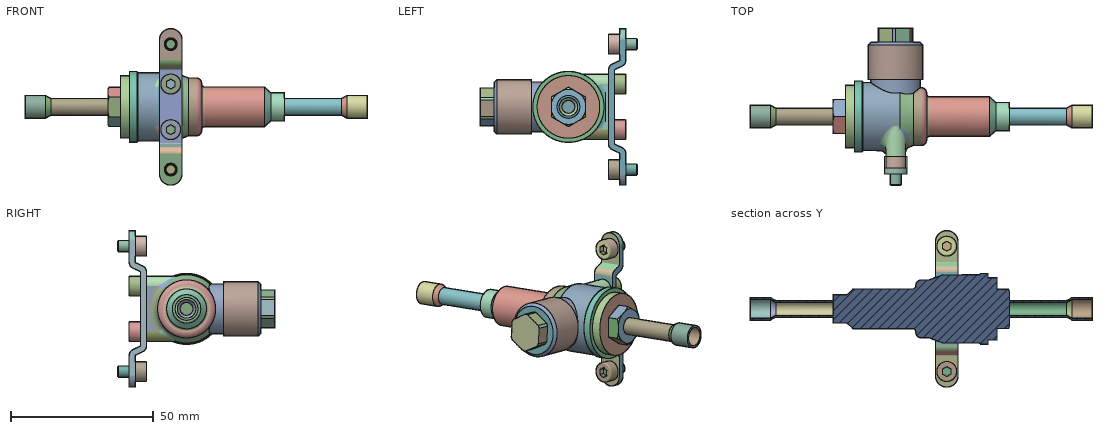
import cadquery as cq
import math

total_length = 120.1
tube_d = 6.0
tube_bore_d = 4.5
flare_d = 8.0
flare_bore_d = 6.5
flare_length = 7.2
flare_cone_length = 1.8

nut_x = 29.0
cover_x = 33.4
flange_x = 36.6
barrel_x = 39.6
cone_x = 52.6
collar_x = 57.3
shoulder_x = 62.0
neck_end_x = 84.0
ferrule_x = 86.2
ferrule_end_x = 91.0
cover_d = 22.0
flange_d = 25.0
flange_chamfer = 0.4
barrel_d = 24.0
collar_d = 20.4
neck_d = 14.0
neck_fillet = 1.0
shoulder_fillet = 2.0
ferrule_d = 10.0

nut_flats = 12.0
nut_chamfer_d = 12.3
nut_chamfer_angle = 30.0

port_x = 51.0
port_stem_d = 17.5
cap_start_y = 13.0
cap_end_y = 26.1
cap_d = 19.2
cap_chamfer = 1.0
plug_end_y = 31.0
plug_flats = 12.0
plug_round_d = 13.3
plug_turn = 25.5

bracket_x = 51.1
pad_width = 7.0
pad_fillet = 1.95
pad_fillet_end_y = -13.0
pad_face_y = -14.0
inner_screw_z = 8.0
outer_screw_z = 22.0
bracket_width = 8.0
bracket_height = 55.0
bracket_thickness = 2.2
ear_offset = 4.0
bend_angle = 65.0
bend_start_z = 12.9
bend_inner_radius = 0.2
clearance_d = 4.5

head_d = 7.0
head_height = 4.0
head_fillet = 0.4
shank_d = 4.0
shank_length = 6.2
shank_tip_d = 3.3
socket_flats = 3.0
socket_depth = 2.0


def cylinder_y(diameter, y_start, y_end, x, z=0.0):
    """Solid cylinder along Y between two Y stations."""
    plane = cq.Plane(origin=(x, y_start, z), xDir=(1, 0, 0), normal=(0, 1, 0))
    return cq.Workplane(plane).circle(diameter / 2).extrude(y_end - y_start)


def hexagon_corner_d(flats):
    """Distance across the corners of a hexagon from its width across flats."""
    return flats / math.cos(math.pi / 6)


def turned_body():
    """Revolved valve body from the cover to the ferrule."""
    collar_r = collar_d / 2
    neck_r = neck_d / 2
    shoulder_start_x = shoulder_x - shoulder_fillet
    shoulder_end_r = collar_r - shoulder_fillet
    neck_start_x = shoulder_x + neck_fillet
    diagonal = math.sqrt(0.5)
    shoulder_mid = (
        shoulder_start_x + shoulder_fillet * diagonal,
        shoulder_end_r + shoulder_fillet * diagonal,
    )
    neck_mid = (
        neck_start_x - neck_fillet * diagonal,
        neck_r + neck_fillet * (1 - diagonal),
    )
    profile = (
        cq.Workplane("XY")
        .moveTo(cover_x, 0)
        .lineTo(cover_x, cover_d / 2)
        .lineTo(flange_x, cover_d / 2)
        .lineTo(flange_x, flange_d / 2)
        .lineTo(barrel_x - flange_chamfer, flange_d / 2)
        .lineTo(barrel_x, flange_d / 2 - flange_chamfer)
        .lineTo(barrel_x, barrel_d / 2)
        .lineTo(cone_x, barrel_d / 2)
        .lineTo(collar_x, collar_r)
        .lineTo(shoulder_start_x, collar_r)
        .threePointArc(shoulder_mid, (shoulder_x, shoulder_end_r))
        .lineTo(shoulder_x, neck_r + neck_fillet)
        .threePointArc(neck_mid, (neck_start_x, neck_r))
        .lineTo(neck_end_x, neck_r)
        .lineTo(ferrule_x, ferrule_d / 2)
        .lineTo(ferrule_end_x, ferrule_d / 2)
        .lineTo(ferrule_end_x, 0)
        .close()
    )
    return profile.revolve(360, (0, 0, 0), (1, 0, 0))


def tube_shape(neck_diameter, end_diameter, length):
    """Revolved tube contour with its widened end at X = 0."""
    return (
        cq.Workplane("XY")
        .moveTo(0, 0)
        .lineTo(0, end_diameter / 2)
        .lineTo(flare_length, end_diameter / 2)
        .lineTo(flare_length + flare_cone_length, neck_diameter / 2)
        .lineTo(length, neck_diameter / 2)
        .lineTo(length, 0)
        .close()
        .revolve(360, (0, 0, 0), (1, 0, 0))
    )


def flared_tube(length):
    """Tube with a flared open end at X = 0, bored over its free length."""
    outside = tube_shape(tube_d, flare_d, length)
    return outside.cut(tube_shape(tube_bore_d, flare_bore_d, length))


def hexagon_nut():
    """Nut with corners pointing along Z, its outer corners chamfered."""
    length = cover_x - nut_x
    corner_d = hexagon_corner_d(nut_flats)
    nut = (
        cq.Workplane("YZ", origin=(nut_x, 0, 0))
        .transformed(rotate=(0, 0, 90))
        .polygon(6, corner_d)
        .extrude(length)
    )
    rise = (corner_d - nut_chamfer_d) / 2
    run = rise * math.tan(math.radians(nut_chamfer_angle))
    envelope = (
        cq.Workplane("XY")
        .moveTo(nut_x, 0)
        .lineTo(nut_x, nut_chamfer_d / 2)
        .lineTo(nut_x + run, corner_d / 2)
        .lineTo(cover_x, corner_d / 2)
        .lineTo(cover_x, 0)
        .close()
        .revolve(360, (0, 0, 0), (1, 0, 0))
    )
    return nut.intersect(envelope)


def side_port():
    """Stem, chamfered cap and round-cornered hexagon plug along +Y."""
    stem = cylinder_y(port_stem_d, 0, cap_start_y, port_x)
    cap = cylinder_y(cap_d, cap_start_y, cap_end_y, port_x).faces(">Y").chamfer(cap_chamfer)
    plug_plane = cq.Plane(origin=(port_x, cap_end_y, 0), xDir=(1, 0, 0), normal=(0, 1, 0))
    plug = (
        cq.Workplane(plug_plane)
        .transformed(rotate=(0, 0, plug_turn))
        .polygon(6, hexagon_corner_d(plug_flats))
        .extrude(plug_end_y - cap_end_y)
    )
    plug = plug.intersect(cylinder_y(plug_round_d, cap_end_y, plug_end_y, port_x))
    return stem.union(cap).union(plug)


def pad(y_start, y_end):
    """Slot-shaped column whose rounded ends are centred on the inner screws."""
    plane = cq.Plane(origin=(bracket_x, y_start, 0), xDir=(0, 0, 1), normal=(0, -1, 0))
    return cq.Workplane(plane).slot2D(2 * inner_screw_z + pad_width, pad_width).extrude(y_start - y_end)


def add_pad(body):
    """Join the pad to the body with a fillet that stops at a flat plane."""
    trim_size = flange_d * 2
    joined = body.union(pad(0, pad_face_y - pad_fillet))
    pad_sides = cq.selectors.BoxSelector(
        (bracket_x - pad_width, -barrel_d / 2, -barrel_d / 2),
        (bracket_x + pad_width, 0, barrel_d / 2),
        boundingbox=True,
    )
    blended = joined.edges(pad_sides).fillet(pad_fillet)
    trim_centre = (bracket_x, pad_fillet_end_y - trim_size / 2, 0)
    trim = cq.Workplane("XY").box(trim_size, trim_size, trim_size).translate(trim_centre)
    return blended.cut(trim).union(pad(pad_fillet_end_y, pad_face_y))


def bracket():
    """Double-cranked strap: middle against the pad, both ears stepped out to -Y."""
    angle = math.radians(bend_angle)
    corner_shift = bracket_thickness * math.tan(angle / 2)
    step_rise = ear_offset / math.tan(angle)
    outer_radius = bend_inner_radius + bracket_thickness
    back_corner_z = bend_start_z + outer_radius * math.tan(angle / 2)
    front_corner_z = back_corner_z - corner_shift
    back_y = pad_face_y
    front_y = pad_face_y - bracket_thickness
    top_z = bracket_height / 2
    upper_half = [
        (back_y, back_corner_z),
        (back_y - ear_offset, back_corner_z + step_rise),
        (back_y - ear_offset, top_z),
        (front_y - ear_offset, top_z),
        (front_y - ear_offset, front_corner_z + step_rise),
        (front_y, front_corner_z),
    ]
    lower_half = [(y, -z) for y, z in reversed(upper_half)]
    strap = (
        cq.Workplane("YZ", origin=(bracket_x - bracket_width / 2, 0, 0))
        .polyline(upper_half + lower_half)
        .close()
        .extrude(bracket_width)
    )
    bends = (
        (back_y, back_corner_z, outer_radius),
        (front_y, front_corner_z, bend_inner_radius),
        (back_y - ear_offset, back_corner_z + step_rise, bend_inner_radius),
        (front_y - ear_offset, front_corner_z + step_rise, outer_radius),
    )
    for y, z, radius in bends:
        for side in (-1, 1):
            corner = cq.selectors.NearestToPointSelector((bracket_x, y, side * z))
            strap = strap.edges("|X").edges(corner).fillet(radius)
    outline = (
        cq.Workplane("XZ", origin=(bracket_x, 0, 0))
        .slot2D(bracket_height, bracket_width, 90)
        .extrude(bracket_height, both=True)
    )
    strap = strap.intersect(outline)
    ear_front_y = front_y - ear_offset
    for side in (-1, 1):
        hole = cylinder_y(clearance_d, ear_front_y, back_y - ear_offset, bracket_x, side * outer_screw_z)
        strap = strap.cut(hole)
    return strap


def socket_head(z, seat_y, direction):
    """Screw head standing on a seat, its socket opening along direction (+1 or -1 in Y)."""
    plane = cq.Plane(origin=(bracket_x, seat_y, z), xDir=(0, 0, 1), normal=(0, direction, 0))
    head = cq.Workplane(plane).circle(head_d / 2).extrude(head_height)
    head = head.faces(">Y" if direction > 0 else "<Y").edges().fillet(head_fillet)
    socket = (
        cq.Workplane(plane)
        .workplane(offset=head_height - socket_depth)
        .polygon(6, hexagon_corner_d(socket_flats))
        .extrude(socket_depth)
    )
    return head.cut(socket)


def outer_screw(z):
    """Screw through a bracket ear, head on the +Y side, chamfered shank tip towards -Y."""
    seat_y = pad_face_y - ear_offset
    shank = cylinder_y(shank_d, seat_y - shank_length, seat_y, bracket_x, z)
    shank = shank.faces("<Y").chamfer((shank_d - shank_tip_d) / 2)
    return socket_head(z, seat_y, 1).union(shank)


def assemble():
    """Join the body, tubes, side port, bracket and screws into one solid."""
    body = add_pad(turned_body())
    body = body.union(hexagon_nut()).union(side_port())
    left_tube = flared_tube(nut_x)
    right_tube = flared_tube(total_length - ferrule_end_x)
    right_tube = right_tube.mirror("YZ").translate((total_length, 0, 0))
    body = body.union(left_tube).union(right_tube).union(bracket())
    for side in (-1, 1):
        body = body.union(socket_head(side * inner_screw_z, pad_face_y - bracket_thickness, -1))
        body = body.union(outer_screw(side * outer_screw_z))
    return body


result = assemble()